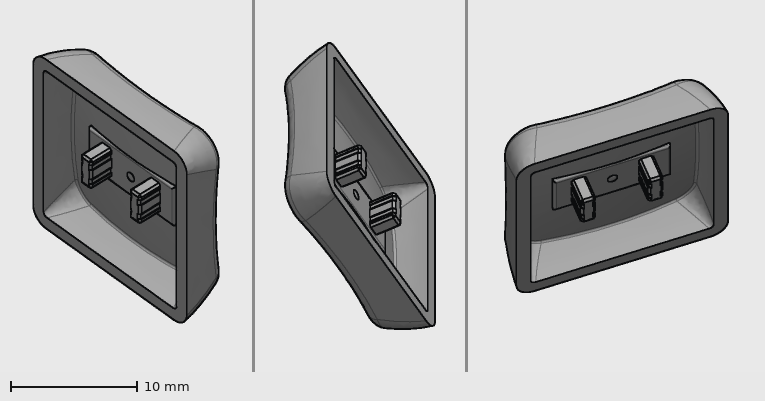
import cadquery as cq


skirt_size = 17.9
skirt_bow_radius_x = 18.97
skirt_bow_radius_z = 10.74
skirt_corners = (1.5, 2.4, 3.08)
blank_height = 5.01

dish_radius = 42.96
dish_bottom = 3.4
top_fillet = 1.2

opening_size = 15.47
cavity_bow_radius_x = 14.32
cavity_bow_radius_z = 10.02
cavity_corners = (0.4, 1.43, 2.47)
floor_thickness = 1.15
floor_fillet = 0.2

plate_length = 9.92
plate_width = 4.05
plate_face = 2.24
plate_fillet = 0.2

post_spacing = 5.7
post_width = 1.25
post_length = 3.05
post_chamfer = 0.2
groove_depth = 0.07
groove_inner = 0.48
groove_outer = 1.0

ball_radius = 1.02
ball_top = 4.19

post_root = (plate_face + dish_bottom) / 2


def block(size_x, size_z, start, end):
    """Box centred on the Y axis, from height start to height end."""
    outline = cq.Workplane("XZ", origin=(0, start, 0)).rect(size_x, size_z)
    return outline.extrude(start - end)


def ball(radius, height):
    """Ball centred on the Y axis at the given height."""
    return cq.Workplane(origin=(0, height, 0)).sphere(radius)


def bowed_blank(size, bow_radius_x, bow_radius_z, corners):
    """Square blank whose walls bow inward and whose corners grow with height."""
    outlines = []
    for step, corner in enumerate(corners):
        height = blank_height * step / (len(corners) - 1)
        size_x = size - height ** 2 / bow_radius_x
        size_z = size - height ** 2 / bow_radius_z
        outline = cq.Sketch().rect(size_x, size_z).vertices().fillet(corner)
        outlines.append(outline.moved(cq.Location(cq.Vector(0, 0, -height))))
    return cq.Workplane("XZ").placeSketch(*outlines).loft()


def dished(blank, depth, edge_fillet):
    """Trim a blank by the dish, set lower by depth, and round the trimmed edge."""
    dish = ball(dish_radius + depth, dish_bottom + dish_radius)
    return blank.cut(dish).faces(">Y").edges().fillet(edge_fillet)


def shell():
    skirt = bowed_blank(skirt_size, skirt_bow_radius_x, skirt_bow_radius_z, skirt_corners)
    cavity = bowed_blank(opening_size, cavity_bow_radius_x, cavity_bow_radius_z, cavity_corners)
    body = dished(skirt, 0, top_fillet)
    return body.cut(dished(cavity, floor_thickness, floor_fillet))


def plate():
    slab = block(plate_length, plate_width, plate_face, dish_bottom)
    return slab.faces("<Y").edges().fillet(plate_fillet)


def chamfered_post(width):
    post = block(width, post_length, 0, post_root)
    return post.faces("<Y or <X or >X").edges("not >Y").chamfer(post_chamfer)


def switch_post():
    """Post with two shallow grooves along each of its wide sides."""
    post = chamfered_post(post_width)
    groove_width = groove_outer - groove_inner
    groove_centre = (groove_inner + groove_outer) / 2
    for side in (-1, 1):
        band = block(post_width, groove_width, 0, post_root)
        post = post.cut(band.translate((0, 0, side * groove_centre)))
    return post.union(chamfered_post(post_width - 2 * groove_depth))


result = shell().union(plate())
for side in (-1, 1):
    result = result.union(switch_post().translate((side * post_spacing / 2, 0, 0)))
result = result.union(ball(ball_radius, ball_top - ball_radius))